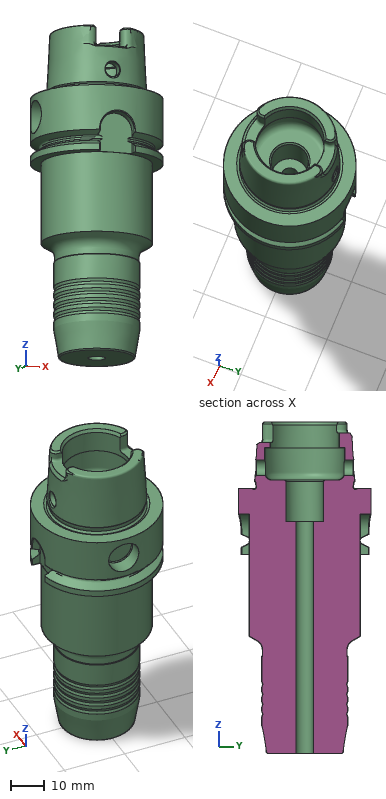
import cadquery as cq
import math

length = 99.9
flange_top = 79.9
flange_bottom = 59.9
body_bottom = 35.4
collar_top = 29.3
nose_start = 8.6

flange_r = 20.0
body_r = 16.8
neck_r = 12.8
collar_r = 13.0
nose_r = 11.6
nose_chamfer = 0.4

taper_base_z = 82.0
taper_base_r = 15.1
taper_slope = 0.05
rim_round = 0.7
rim_side_r = taper_base_r - taper_slope * (length - rim_round - taper_base_z)
rim_bulge = rim_round * (1 - math.sqrt(0.5))
rim_mid = (rim_side_r - rim_bulge, length - rim_bulge)
relief_r = 14.6
relief_top_r = 14.8
relief_steps = (81.6, 81.1, 80.2)
face_groove_inner_r = 15.2
face_groove_r = 16.0
face_groove_depth = 0.4

gripper_mid_z = 64.1
gripper_r = 17.3
gripper_half_floor = 0.3
gripper_round = 0.6
gripper_half_mouth = 2.0
gripper_lip_bevel = 0.2

neck_round = 3.1
slope_angle = math.radians(30)
cone_tan = math.tan(slope_angle)
corner_z = body_bottom - (body_r - neck_r) * cone_tan
tangent_length = neck_round * cone_tan
round_start_r = neck_r + tangent_length * math.cos(slope_angle)
round_start_z = corner_z + tangent_length * math.sin(slope_angle)
round_mid_r = neck_r + neck_round * (1 - math.cos(slope_angle))
round_mid_z = corner_z - tangent_length + neck_round * math.sin(slope_angle)

ring_count = 4
ring_pitch = 3.0
ring_width = 1.8
ring_depth = 0.3
first_ring_z = 20.9

mouth_r = 11.0
mouth_chamfer_depth = 1.0
bore_r = 10.4
bore_lip_z = 92.1
undercut_r = 12.0
undercut_bottom_z = 84.6
bore_floor_round = 2.2
bore_floor_z = undercut_bottom_z - bore_floor_round
floor_round_mid = (
    undercut_r - bore_floor_round * (1 - math.sqrt(0.5)),
    undercut_bottom_z - bore_floor_round * math.sqrt(0.5),
)
thread_r = 5.6
thread_chamfer = 0.5
thread_floor_z = 69.9
coolant_r = 2.6

drive_half_width = 4.0
drive_wall_end_y = 10.8
drive_corner_r = 2.0
drive_flare_angle = math.radians(30)
drive_flare_length = 4.0
drive_floor_round = 0.9
drive_floor_front_z = 93.7
drive_floor_back_z = 96.6
drive_lip_drop = 0.6
drive_lip_taper = 45
drive_edge_r = 13.7
drive_edge_width = 0.8
drive_edge_front_drop = 0.6
drive_edge_back_drop = 1.3

cross_hole_r = 2.3
cross_hole_z = 86.1
cross_hole_chamfer = 0.35

key_depth_y = 16.8
key_front_half_width = 5.4
key_back_half_width = 4.5
key_top_z = 72.0
key_bevel = 0.3
side_hole_r = 5.0
side_hole_z = 73.0
side_hole_depth = 5.3
side_hole_bevel = 0.3


def ring_centres():
    return [first_ring_z - i * ring_pitch for i in range(ring_count)]


def revolved(profile):
    """Full turn of a (radius, z) profile about the spindle axis."""
    return profile.revolve(360, (0, 0, 0), (0, 1, 0))


def gripper_corner(side, angle):
    """Point (radius, z) on a floor corner of the gripper groove; side is +1 above, -1 below."""
    turn = math.radians(angle)
    radius = gripper_r + gripper_round * (1 - math.cos(turn))
    offset = gripper_half_floor + gripper_round * math.sin(turn)
    return (radius, gripper_mid_z + side * offset)


def make_outside():
    profile = (
        cq.Workplane("XZ")
        .moveTo(0, 0)
        .lineTo(nose_r - nose_chamfer, 0)
        .lineTo(nose_r, nose_chamfer)
        .lineTo(collar_r, nose_start)
    )
    for z in reversed(ring_centres()):
        profile = (
            profile.lineTo(collar_r, z - ring_width / 2)
            .lineTo(collar_r - ring_depth, z)
            .lineTo(collar_r, z + ring_width / 2)
        )
    profile = (
        profile.lineTo(collar_r, collar_top)
        .lineTo(neck_r, collar_top + collar_r - neck_r)
        .lineTo(neck_r, corner_z - tangent_length)
        .threePointArc((round_mid_r, round_mid_z), (round_start_r, round_start_z))
        .lineTo(body_r, body_bottom)
        .lineTo(body_r, flange_bottom)
        .lineTo(flange_r, flange_bottom)
        .lineTo(flange_r, gripper_mid_z - gripper_half_mouth - gripper_lip_bevel)
        .lineTo(flange_r - gripper_lip_bevel, gripper_mid_z - gripper_half_mouth)
        .lineTo(*gripper_corner(-1, 60))
        .threePointArc(gripper_corner(-1, 30), gripper_corner(-1, 0))
        .lineTo(*gripper_corner(1, 0))
        .threePointArc(gripper_corner(1, 30), gripper_corner(1, 60))
        .lineTo(flange_r, gripper_mid_z + gripper_half_mouth)
        .lineTo(flange_r, flange_top)
        .lineTo(face_groove_r, flange_top)
        .lineTo(face_groove_inner_r, flange_top - face_groove_depth)
        .lineTo(relief_r, relief_steps[2])
        .lineTo(relief_top_r, relief_steps[1])
        .lineTo(relief_top_r, relief_steps[0])
        .lineTo(taper_base_r, taper_base_z)
        .lineTo(rim_side_r, length - rim_round)
        .threePointArc(rim_mid, (rim_side_r - rim_round, length))
        .lineTo(0, length)
        .close()
    )
    return revolved(profile)


def make_bore():
    profile = (
        cq.Workplane("XZ")
        .moveTo(0, length)
        .lineTo(mouth_r, length)
        .lineTo(bore_r, length - mouth_chamfer_depth)
        .lineTo(bore_r, bore_lip_z)
        .lineTo(undercut_r, bore_lip_z)
        .lineTo(undercut_r, undercut_bottom_z)
        .threePointArc(floor_round_mid, (undercut_r - bore_floor_round, bore_floor_z))
        .lineTo(thread_r + thread_chamfer, bore_floor_z)
        .lineTo(thread_r, bore_floor_z - thread_chamfer)
        .lineTo(thread_r, thread_floor_z)
        .lineTo(coolant_r, thread_floor_z)
        .lineTo(coolant_r, 0)
        .lineTo(0, 0)
        .close()
    )
    return revolved(profile)


def drive_outline(z):
    """Plan of a +Y drive slot: parallel walls that round outward into flared faces."""
    centre_x = drive_half_width + drive_corner_r

    def on_corner(angle):
        return (
            centre_x + drive_corner_r * math.sin(angle),
            drive_wall_end_y + drive_corner_r * math.cos(angle),
        )

    arc_mid = on_corner((drive_flare_angle - math.pi / 2) / 2)
    arc_end = on_corner(drive_flare_angle)
    flare_end = (
        arc_end[0] + drive_flare_length * math.cos(drive_flare_angle),
        arc_end[1] - drive_flare_length * math.sin(drive_flare_angle),
    )

    def mirrored(point):
        return (-point[0], point[1])

    return (
        cq.Workplane("XY", origin=(0, 0, z))
        .moveTo(drive_half_width, 0)
        .lineTo(drive_half_width, drive_wall_end_y)
        .threePointArc(arc_mid, arc_end)
        .lineTo(*flare_end)
        .lineTo(flare_end[0], flange_r)
        .lineTo(-flare_end[0], flange_r)
        .lineTo(*mirrored(flare_end))
        .lineTo(*mirrored(arc_end))
        .threePointArc(mirrored(arc_mid), (-drive_half_width, drive_wall_end_y))
        .lineTo(-drive_half_width, 0)
        .close()
    )


def make_drive_slot(floor_z, floor_round):
    return (
        drive_outline(floor_z)
        .extrude(length - floor_z)
        .faces("<Z")
        .edges()
        .fillet(floor_round)
    )


def make_key_slot(half_width):
    """Arched slot on the +Y side of the flange, open at the flange bottom."""
    arch_z = key_top_z - half_width
    return (
        cq.Workplane("XZ", origin=(0, flange_r + 1, 0))
        .moveTo(-half_width, flange_bottom)
        .lineTo(-half_width, arch_z)
        .threePointArc((0, key_top_z), (half_width, arch_z))
        .lineTo(half_width, flange_bottom)
        .close()
        .extrude(flange_r + 1 - key_depth_y)
    )


def to_front(tool):
    return tool.rotate((0, 0, 0), (0, 0, 1), 180)


def make_drive_lip():
    """Bevel along the top edges of a +Y drive slot."""
    return drive_outline(length - drive_lip_drop).extrude(drive_lip_drop, taper=-drive_lip_taper)


def make_drive_edge(floor_z, drop):
    """Conical bevel along the outer edge of a +Y drive slot floor."""
    low_z = floor_z - drop
    cone = revolved(
        cq.Workplane("XZ")
        .moveTo(drive_edge_r, floor_z)
        .lineTo(drive_edge_r + drive_edge_width, low_z)
        .lineTo(flange_r, low_z)
        .lineTo(flange_r, length)
        .lineTo(drive_edge_r, length)
        .close()
    )
    return make_drive_slot(low_z, drive_floor_round + drop).intersect(cone)


def make_cross_hole():
    half = (
        cq.Workplane("XZ", origin=(0, 0, cross_hole_z))
        .circle(cross_hole_r)
        .extrude(-flange_r)
    )
    outer_y = taper_base_r - taper_slope * (cross_hole_z - taper_base_z)
    sink = cq.Workplane("XY").add(
        cq.Solid.makeCone(
            cross_hole_r, cross_hole_r + 2 * cross_hole_chamfer, 2 * cross_hole_chamfer,
            cq.Vector(0, outer_y - cross_hole_chamfer, cross_hole_z), cq.Vector(0, 1, 0),
        )
    )
    half = half.union(sink)
    return half.union(to_front(half))


def make_side_hole():
    return (
        cq.Workplane("YZ", origin=(-flange_r, 0, side_hole_z))
        .circle(side_hole_r)
        .extrude(side_hole_depth)
        .faces(">X")
        .chamfer(side_hole_bevel)
    )


holder = make_outside()
for tool in (
    make_bore(),
    make_drive_slot(drive_floor_back_z, drive_floor_round),
    to_front(make_drive_slot(drive_floor_front_z, drive_floor_round)),
    make_drive_edge(drive_floor_back_z, drive_edge_back_drop),
    to_front(make_drive_edge(drive_floor_front_z, drive_edge_front_drop)),
    make_drive_lip(),
    to_front(make_drive_lip()),
    make_key_slot(key_back_half_width),
    to_front(make_key_slot(key_front_half_width)),
    make_cross_hole(),
    make_side_hole(),
):
    holder = holder.cut(tool)

def is_key_rim(edge):
    """True for the edges where a key slot breaks out of the flange cylinder."""
    if edge.geomType() == "CIRCLE":
        return False
    middle = edge.positionAt(0.5)
    on_flange = abs(math.hypot(middle.x, middle.y) - flange_r) < 0.01
    return on_flange and abs(middle.x) < flange_r / 2


key_rims = [edge for edge in holder.edges().vals() if is_key_rim(edge)]
result = holder.newObject(key_rims).chamfer(key_bevel)